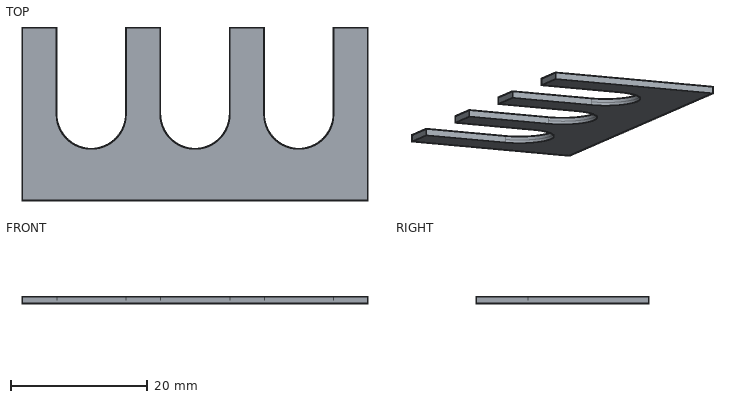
import cadquery as cq

prong_width = 5.08
slot_width = 10.16
slot_count = 3
plate_depth = 25.4
spine_depth = 7.62
thickness = 1.0

slot_pitch = slot_width + prong_width
plate_width = slot_count * slot_pitch + prong_width
slot_radius = slot_width / 2
slot_center_y = -plate_depth / 2 + spine_depth + slot_radius
slot_straight_length = plate_depth / 2 - slot_center_y


def make_plate():
    """Flat rectangular plate centred on the origin."""
    return cq.Workplane("XY").box(plate_width, plate_depth, thickness)


def make_slot(center_x):
    """Through slot with a round bottom, open at the +Y edge."""
    round_bottom = (
        cq.Workplane("XY")
        .center(center_x, slot_center_y)
        .circle(slot_radius)
        .extrude(thickness / 2, both=True)
    )
    straight_part = (
        cq.Workplane("XY")
        .center(center_x, slot_center_y + slot_straight_length / 2)
        .rect(slot_width, slot_straight_length)
        .extrude(thickness / 2, both=True)
    )
    return round_bottom.union(straight_part)


result = make_plate()
for index in range(slot_count):
    offset_from_middle = index - (slot_count - 1) / 2
    result = result.cut(make_slot(offset_from_middle * slot_pitch))